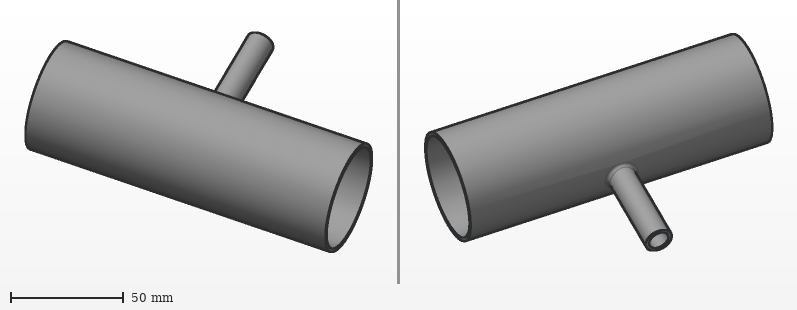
import cadquery as cq

run_length = 146.0
run_outer_diameter = 50.8
run_inner_diameter = 47.5

branch_outer_diameter = 12.7
branch_inner_diameter = 9.3
overall_width = 92.0
branch_end = overall_width - run_outer_diameter / 2

weld_radius = 1.6


def run_cylinder(diameter):
    """Solid cylinder along X, centred on the origin."""
    return cq.Workplane("YZ").circle(diameter / 2).extrude(run_length / 2, both=True)


def branch_cylinder(diameter):
    """Solid cylinder from the main tube's axis out to the branch end."""
    return cq.Workplane("XZ").circle(diameter / 2).extrude(-branch_end)


def add_weld(body):
    """Fillet the closed seam between the two outer surfaces."""
    half_branch = branch_outer_diameter / 2
    seam_zone = cq.selectors.BoxSelector(
        (-run_length / 4, run_outer_diameter / 4, -run_outer_diameter / 4),
        (run_length / 4, run_outer_diameter / 2 + half_branch, run_outer_diameter / 4),
    )
    return body.edges(seam_zone).fillet(weld_radius)


outer_body = run_cylinder(run_outer_diameter).union(branch_cylinder(branch_outer_diameter))
welded_body = add_weld(outer_body)

result = welded_body.cut(run_cylinder(run_inner_diameter)).cut(branch_cylinder(branch_inner_diameter))